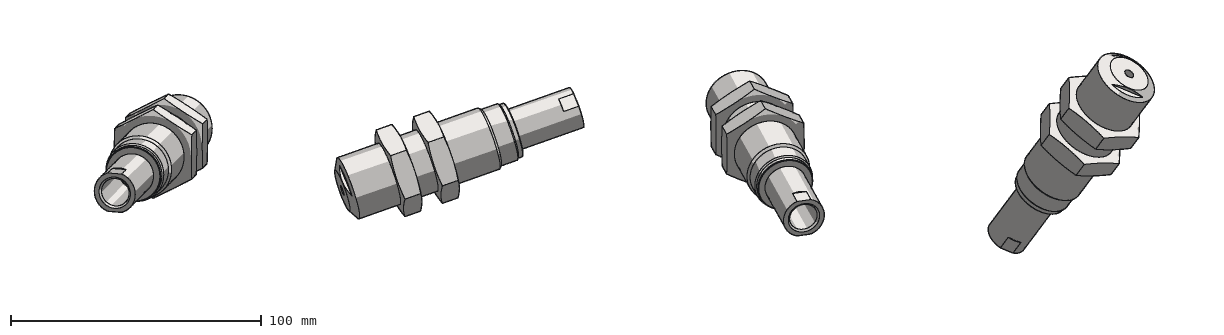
import cadquery as cq
import math

total_length = 100.0

shaft_diameter = 17.0
shaft_length = 27.0
nose_diameter = 22.8
nose_end_chamfer = 0.3
collar_diameter = 24.0
collar_start = 29.0
barrel_diameter = 26.0
barrel_start = 36.5

cone_length = 2.5
cone_angle = 30.0
end_flats_width = 17.6
end_flats_length = 1.5

shaft_flats_width = 16.0
shaft_flats_length = 6.5

bore_diameter = 11.4
bore_depth = shaft_length
bore_chamfer = 0.8
through_hole_diameter = 4.0

nut_across_flats = 32.0
nut_thickness = 8.0
nut_chamfer_circle = 31.8
nut_corner_drop = 0.65
nut_starts = [56.0, 72.0]


def revolve_about_y(profile):
    """Turn a half profile of (radius, Y) points about the Y axis."""
    outline = cq.Workplane("XY").polyline(profile).close()
    return outline.revolve(360, (0, 0, 0), (0, 1, 0))


def cut_opposite_flats(body, width, start, length):
    """Remove everything above and below a pair of flats, over a stretch of Y."""
    block_size = barrel_diameter
    for side in (1, -1):
        block = cq.Workplane("XY").box(block_size, length, block_size)
        offset = side * (width + block_size) / 2
        body = body.cut(block.translate((0, start + length / 2, offset)))
    return body


def make_sleeve_blank():
    shaft_radius = shaft_diameter / 2
    nose_radius = nose_diameter / 2
    collar_radius = collar_diameter / 2
    barrel_radius = barrel_diameter / 2
    collar_chamfer = collar_radius - nose_radius
    barrel_chamfer = barrel_radius - collar_radius
    cone_end_radius = barrel_radius - cone_length / math.tan(math.radians(cone_angle))
    return revolve_about_y([
        (0, 0),
        (shaft_radius, 0),
        (shaft_radius, shaft_length),
        (nose_radius - nose_end_chamfer, shaft_length),
        (nose_radius, shaft_length + nose_end_chamfer),
        (nose_radius, collar_start),
        (collar_radius, collar_start + collar_chamfer),
        (collar_radius, barrel_start),
        (barrel_radius, barrel_start + barrel_chamfer),
        (barrel_radius, total_length - cone_length),
        (cone_end_radius, total_length),
        (0, total_length),
    ])


def make_bore():
    """Chamfered blind bore from the front, with a small hole on through the back."""
    bore_radius = bore_diameter / 2
    hole_radius = through_hole_diameter / 2
    return revolve_about_y([
        (0, 0),
        (bore_radius + bore_chamfer, 0),
        (bore_radius, bore_chamfer),
        (bore_radius, bore_depth),
        (hole_radius, bore_depth),
        (hole_radius, total_length),
        (0, total_length),
    ])


def make_sleeve():
    sleeve = make_sleeve_blank().cut(make_bore())
    sleeve = cut_opposite_flats(sleeve, shaft_flats_width, 0, shaft_flats_length)
    end_flats_start = total_length - end_flats_length
    return cut_opposite_flats(sleeve, end_flats_width, end_flats_start, end_flats_length)


def make_nut(start):
    """Hexagon nut with corners up and down, chamfered on both faces."""
    corner_radius = nut_across_flats / math.sqrt(3)
    face_radius = nut_chamfer_circle / 2
    end = start + nut_thickness
    corners = []
    for i in range(6):
        angle = math.radians(90 + 60 * i)
        corners.append((corner_radius * math.cos(angle), corner_radius * math.sin(angle)))
    hexagon = cq.Workplane("XZ", origin=(0, start, 0)).polyline(corners).close().extrude(-nut_thickness)
    chamfered_disc = revolve_about_y([
        (0, start),
        (face_radius, start),
        (corner_radius, start + nut_corner_drop),
        (corner_radius, end - nut_corner_drop),
        (face_radius, end),
        (0, end),
    ])
    hole = cq.Workplane("XZ", origin=(0, start, 0)).circle(barrel_diameter / 2).extrude(-nut_thickness)
    return hexagon.intersect(chamfered_disc).cut(hole)


sleeve = make_sleeve()
nuts = [make_nut(start) for start in nut_starts]

result = cq.Compound.makeCompound([sleeve.val(), *[nut.val() for nut in nuts]])